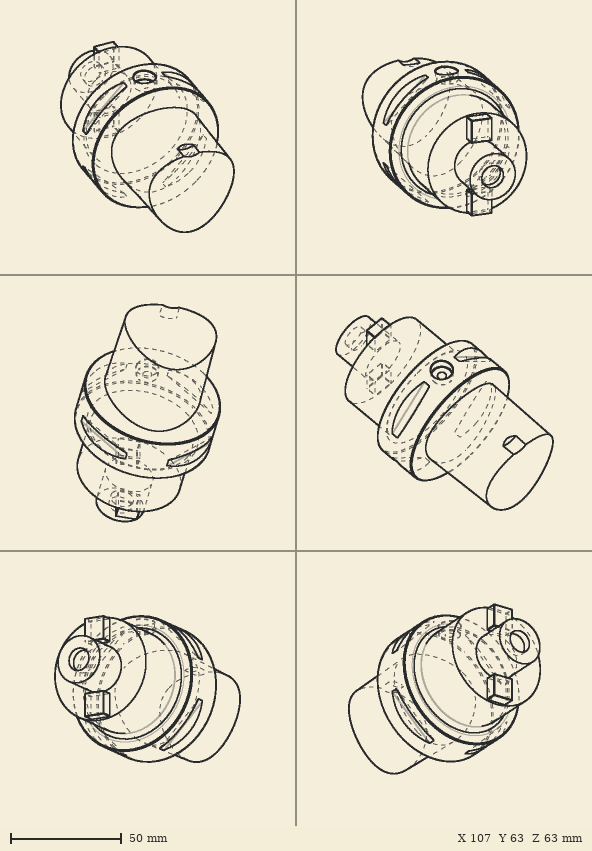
import cadquery as cq
import math


pilot_length = 19.0
body_length = 28.0
flange_width = 22.0
shank_length = 38.0
body_x = pilot_length
flange_x = body_x + body_length
shank_x = flange_x + flange_width
total_length = shank_x + shank_length
rim_features_x = flange_x + 10.0

pilot_diameter = 22.0
body_diameter = 48.0
neck_diameter = 47.8
flange_diameter = 63.0
flange_chamfer = 0.5

relief_start_x = 44.1
relief_lead_length = 0.35
relief_arc_start_x = 44.9
relief_arc_radius = 2.3
relief_wall_angle = math.radians(8)
relief_outer_diameter = 54.4

bore_diameter = 10.5
bore_depth = 4.0

key_width = 10.0
key_protrusion = 5.6
key_inner_z = 12.1
key_outer_z = 23.0
key_chamfer = 0.25

shank_mean_diameter = 44.0
lobe_eccentricity = 1.4
shank_taper = 1 / 20
shank_outline_points = 36

notch_diameter = 14.5
notch_floor_z = 18.35
notch_length = 6.6

slot_floor_distance = 28.0
slot_floor_width = 3.5
slot_wall_angle = math.radians(30)
slot_corner_radius = 0.4
slot_angles = (45, 135, 225, 315)

chip_diameter = 10.0
chip_chamfer = 0.25
chip_depth = 4.85
chip_cone_diameter = 4.0
chip_cone_angle = math.radians(118)


def turned_body():
    """Pilot, body, relief groove and flange as one revolved profile."""
    neck_radius = neck_diameter / 2
    flange_radius = flange_diameter / 2
    arc_center_r = neck_radius + relief_arc_radius

    def arc_point(angle):
        return (
            relief_arc_start_x + relief_arc_radius * math.sin(angle),
            arc_center_r - relief_arc_radius * math.cos(angle),
        )

    arc_sweep = math.pi / 2 - relief_wall_angle
    return (
        cq.Workplane("XY")
        .moveTo(0, 0)
        .lineTo(0, pilot_diameter / 2)
        .lineTo(body_x, pilot_diameter / 2)
        .lineTo(body_x, body_diameter / 2)
        .lineTo(relief_start_x, body_diameter / 2)
        .lineTo(relief_start_x + relief_lead_length, neck_radius)
        .lineTo(relief_arc_start_x, neck_radius)
        .threePointArc(arc_point(arc_sweep / 2), arc_point(arc_sweep))
        .lineTo(flange_x, relief_outer_diameter / 2)
        .lineTo(flange_x, flange_radius - flange_chamfer)
        .lineTo(flange_x + flange_chamfer, flange_radius)
        .lineTo(shank_x - flange_chamfer, flange_radius)
        .lineTo(shank_x, flange_radius - flange_chamfer)
        .lineTo(shank_x, 0)
        .close()
        .revolve(360, (0, 0, 0), (1, 0, 0))
    )


def trilobe_points(mean_radius):
    """Points (Y, Z) of a three-lobed curve with one lobe toward -Z."""
    points = []
    for index in range(shank_outline_points):
        angle = 2 * math.pi * index / shank_outline_points
        y = mean_radius * math.sin(angle) - lobe_eccentricity * math.sin(2 * angle)
        z = -mean_radius * math.cos(angle) - lobe_eccentricity * math.cos(2 * angle)
        points.append((y, z))
    return points


def polygon_shank():
    large_radius = shank_mean_diameter / 2
    small_radius = large_radius - shank_length * shank_taper / 2
    return (
        cq.Workplane("YZ", origin=(shank_x, 0, 0))
        .spline(trilobe_points(large_radius), periodic=True)
        .close()
        .workplane(offset=shank_length)
        .spline(trilobe_points(small_radius), periodic=True)
        .close()
        .loft(ruled=True)
    )


def drive_key(side):
    """Key standing on the body face, on the +Z (side = 1) or -Z (side = -1) half."""
    height = key_outer_z - key_inner_z
    center_z = side * (key_outer_z + key_inner_z) / 2
    return (
        cq.Workplane("XY")
        .box(key_protrusion, key_width, height)
        .edges("<X or |X")
        .chamfer(key_chamfer)
        .translate((body_x - key_protrusion / 2, 0, center_z))
    )


def pilot_bore():
    return cq.Workplane("YZ").circle(bore_diameter / 2).extrude(bore_depth)


def orientation_notch():
    """Round-bottomed groove along X with a 45 degree conical end."""
    radius = notch_diameter / 2
    start_x = total_length - notch_length
    axis_z = notch_floor_z + radius
    return (
        cq.Workplane("XZ")
        .polyline([
            (start_x - radius, axis_z),
            (start_x, axis_z - radius),
            (total_length, axis_z - radius),
            (total_length, axis_z),
        ])
        .close()
        .revolve(360, (0, axis_z, 0), (1, axis_z, 0))
    )


def gripper_slot(angle):
    """Straight slot with flared walls and rounded floor corners, turned about X."""
    depth = flange_diameter / 2 - slot_floor_distance
    half_floor = slot_floor_width / 2
    half_top = half_floor + depth * math.tan(slot_wall_angle)
    return (
        cq.Workplane("XZ", origin=(rim_features_x, 0, slot_floor_distance))
        .polyline([(-half_floor, 0), (half_floor, 0), (half_top, depth), (-half_top, depth)])
        .close()
        .extrude(flange_diameter / 2, both=True)
        .edges("|Y and <Z")
        .fillet(slot_corner_radius)
        .rotate((0, 0, 0), (1, 0, 0), angle)
    )


def cut_chip_pocket(part):
    """Round pocket chamfered at rim and floor, with a small drill cone in its floor."""
    top_z = flange_diameter / 2
    floor_z = top_z - chip_depth
    pocket_radius = chip_diameter / 2
    cone_radius = chip_cone_diameter / 2
    cone_depth = cone_radius / math.tan(chip_cone_angle / 2)
    pocket = (
        cq.Workplane("XZ", origin=(rim_features_x, 0, 0))
        .polyline([
            (0, floor_z - cone_depth),
            (cone_radius, floor_z),
            (pocket_radius - chip_chamfer, floor_z),
            (pocket_radius, floor_z + chip_chamfer),
            (pocket_radius, top_z),
            (0, top_z),
        ])
        .close()
        .revolve(360, (0, 0, 0), (0, 1, 0))
    )
    rim_zone = cq.selectors.BoxSelector(
        (rim_features_x - pocket_radius, -pocket_radius, top_z - 2 * chip_chamfer),
        (rim_features_x + pocket_radius, pocket_radius, top_z + chip_chamfer),
    )
    return part.cut(pocket).edges(rim_zone).chamfer(chip_chamfer)


result = cut_chip_pocket(turned_body()).union(polygon_shank())
for key_side in (1, -1):
    result = result.union(drive_key(key_side))
result = result.cut(pilot_bore()).cut(orientation_notch())
for slot_angle in slot_angles:
    result = result.cut(gripper_slot(slot_angle))